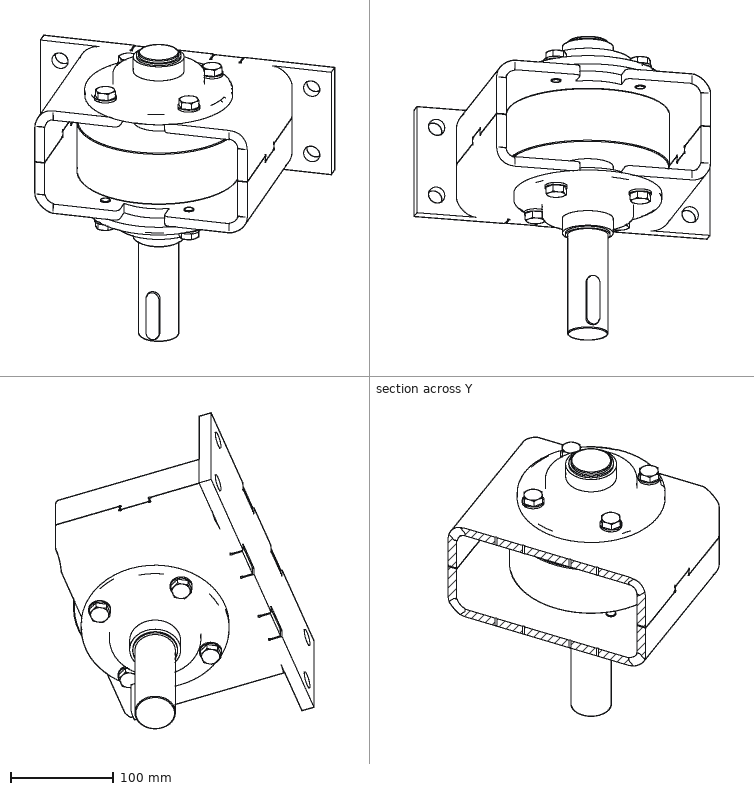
import cadquery as cq
import math


plate_width = 296.0
plate_height = 109.5
plate_thickness = 12.5
plate_back = 112.0
plate_front = plate_back - plate_thickness
mount_hole_diameter = 16.3
mount_hole_x_spacing = 256.0
mount_hole_z_spacing = 70.0

housing_width = 216.2
housing_height = plate_height
housing_depth = 164.0
housing_front = plate_front - housing_depth
wall = 10.0
bend_radius = 20.0
scoop_depth = 1.8
scoop_chord = 23.0
scoop_margin = 1.2
side_height = housing_height / 2

tab_width = 29.0
tab_center_x = 40.3
tab_gap = 1.2
tab_relief_radius = 1.2

seam_gap = 0.5
seam_base_z = -1.8
seam_key_height = 6.0
seam_key_width = 30.7
seam_key_center_y = 17.8
seam_relief_radius = 1.2

spigot_radius = 50.0
mouth_width = 45.8
mouth_fillet = 5.0

flange_radius = 72.5
flange_thickness = 9.3
hub_radius = 45.0
hub_top = 81.0
bearing_fillet = 3.3

bolt_offset = 42.5
bolt_diameter = 10.0
bolt_end_height = 1.0
bolt_end_chamfer = 0.5
washer_diameter = 21.7
washer_thickness = 2.0
head_flats = 17.8
head_corners = head_flats / math.cos(math.radians(30))
head_height = 7.0
head_bevel = 0.5

wheel_radius = 80.0
wheel_width = 54.8
wheel_chamfer = 1.0

journal_radius = 25.0
journal_half_length = 96.0
shoulder_radius = 22.0
shoulder_length = 1.8
drive_radius = 20.0
shaft_length = 301.0
shaft_top = 101.0
shaft_bottom = shaft_top - shaft_length
shaft_chamfer = 1.0

key_width = 13.0
key_length = 50.0
key_bottom = -197.0
key_front = -23.0
key_depth = 7.2


def box(x_range, y_range, z_range):
    """Box spanning the given coordinate ranges."""
    size = [high - low for low, high in (x_range, y_range, z_range)]
    corner = (x_range[0], y_range[0], z_range[0])
    return cq.Workplane("XY").box(*size, centered=False).translate(corner)


def cylinder(radius, z_low, z_high, x=0, y=0):
    """Cylinder along Z between two heights."""
    return cq.Workplane("XY").workplane(offset=z_low).center(x, y).circle(radius).extrude(z_high - z_low)


def both_ends(body):
    """The body together with its mirror image below the mid-plane."""
    return body.union(body.mirror("XY"))


def make_plate():
    """Mounting plate with four holes and pockets for the housing tabs."""
    half_width = plate_width / 2
    half_height = plate_height / 2
    plate = box((-half_width, half_width), (plate_front, plate_back), (-half_height, half_height))
    holes = (
        cq.Workplane("XZ", origin=(0, plate_back, 0))
        .rarray(mount_hole_x_spacing, mount_hole_z_spacing, 2, 2)
        .circle(mount_hole_diameter / 2)
        .extrude(plate_thickness)
    )
    plate = plate.cut(holes)
    pocket_half = tab_width / 2 + tab_gap
    for x in (-tab_center_x, tab_center_x):
        pocket = box(
            (x - pocket_half, x + pocket_half),
            (plate_front, plate_back),
            (half_height - wall, half_height),
        )
        plate = plate.cut(both_ends(pocket))
    return plate


def make_seam():
    """Narrow stepped gap through the -X side wall, with round corner reliefs."""
    x_range = (-housing_width / 2, wall - housing_width / 2)
    half_gap = seam_gap / 2
    key_z = seam_base_z + seam_key_height
    key_start = seam_key_center_y - seam_key_width / 2
    key_end = seam_key_center_y + seam_key_width / 2
    base_z_range = (seam_base_z - half_gap, seam_base_z + half_gap)
    seam = box(x_range, (key_start, key_end), (key_z - half_gap, key_z + half_gap))
    seam = seam.union(box(x_range, (housing_front, key_start), base_z_range))
    seam = seam.union(box(x_range, (key_end, plate_front), base_z_range))
    for y in (key_start, key_end):
        seam = seam.union(box(x_range, (y - half_gap, y + half_gap), (seam_base_z, key_z)))
        reliefs = (
            cq.Workplane("YZ", origin=(x_range[0], 0, 0))
            .pushPoints([(y, seam_base_z), (y, key_z)])
            .circle(seam_relief_radius)
            .extrude(wall)
        )
        seam = seam.union(reliefs)
    return seam


def make_mouth():
    """Opening from the front edge into the bearing bore, flared by round corners."""
    neck = mouth_width / 2
    flare = neck + mouth_fillet
    flare_end = housing_front + mouth_fillet
    return (
        cq.Workplane("XY")
        .workplane(offset=-side_height)
        .moveTo(-flare, housing_front)
        .radiusArc((-neck, flare_end), -mouth_fillet)
        .lineTo(-neck, 0)
        .lineTo(neck, 0)
        .lineTo(neck, flare_end)
        .radiusArc((flare, housing_front), -mouth_fillet)
        .close()
        .extrude(housing_height)
    )


def make_bend_scoops():
    """Shallow hollows across both end faces of the four bends, one cylinder on each bend diagonal."""
    radius = (scoop_chord**2 / 4 + scoop_depth**2) / (2 * scoop_depth)
    half_width = housing_width / 2
    half_height = housing_height / 2
    size = bend_radius - scoop_margin
    corner = box(
        (half_width - size, half_width),
        (housing_front, housing_front + scoop_depth),
        (half_height - size, half_height),
    )
    bend_center = cq.Vector(half_width - bend_radius, 0, half_height - bend_radius)
    axis_y = housing_front + scoop_depth - radius
    hollow = cq.Workplane(
        cq.Solid.makeCylinder(
            radius,
            2 * bend_radius,
            bend_center + cq.Vector(0, axis_y, 0),
            cq.Vector(1, 0, 1),
        )
    )
    scoop = corner.intersect(hollow)
    scoops = both_ends(scoop.union(scoop.mirror("YZ")))
    middle_y = (housing_front + plate_front) / 2
    return scoops.union(scoops.mirror("XZ", (0, middle_y, 0)))


def make_housing():
    """Rectangular folded tube, open at the front, with tabs at the back."""
    outside = (
        cq.Workplane("XZ", origin=(0, plate_front, 0))
        .rect(housing_width, housing_height)
        .extrude(housing_depth)
        .edges("|Y")
        .fillet(bend_radius)
    )
    inside = (
        cq.Workplane("XZ", origin=(0, plate_front, 0))
        .rect(housing_width - 2 * wall, housing_height - 2 * wall)
        .extrude(housing_depth)
        .edges("|Y")
        .fillet(bend_radius - wall)
    )
    housing = outside.cut(inside)

    housing = housing.cut(make_bend_scoops())

    bores = cylinder(spigot_radius, -side_height, side_height)
    housing = housing.cut(bores).cut(make_mouth())

    seam = make_seam()
    housing = housing.cut(seam).cut(seam.rotate((0, 0, 0), (0, 1, 0), 180))

    wall_range = (side_height - wall, side_height)
    for x in (-tab_center_x, tab_center_x):
        left = x - tab_width / 2
        right = x + tab_width / 2
        tab = box((left, right), (plate_front, plate_back - tab_gap), wall_range)
        housing = housing.union(both_ends(tab))
        for relief_x in (left - tab_gap / 2, right + tab_gap / 2):
            relief = cylinder(tab_relief_radius, *wall_range, x=relief_x, y=plate_front)
            housing = housing.cut(both_ends(relief))
    return housing


def make_bearing():
    """Upper bearing housing: spigot, rounded flange and rounded hub, turned about Z."""
    flange_top = side_height + flange_thickness
    r = bearing_fillet
    return (
        cq.Workplane("XZ")
        .moveTo(0, side_height - wall)
        .lineTo(spigot_radius, side_height - wall)
        .lineTo(spigot_radius, side_height)
        .lineTo(flange_radius, side_height)
        .lineTo(flange_radius, flange_top - r)
        .radiusArc((flange_radius - r, flange_top), -r)
        .lineTo(hub_radius + r, flange_top)
        .radiusArc((hub_radius, flange_top + r), r)
        .lineTo(hub_radius, hub_top - r)
        .radiusArc((hub_radius - r, hub_top), -r)
        .lineTo(0, hub_top)
        .close()
        .revolve(360, (0, 0, 0), (0, 1, 0))
    )


def make_bolt():
    """Upper bolt on the Z axis: hexagon head, washer and a shank end inside the housing."""
    seat = side_height + flange_thickness
    head_base = seat + washer_thickness
    shank_end = side_height - wall - bolt_end_height
    shank = cylinder(bolt_diameter / 2, shank_end, seat).faces("<Z").chamfer(bolt_end_chamfer)
    washer = cylinder(washer_diameter / 2, seat, head_base)
    head = (
        cq.Workplane("XY")
        .workplane(offset=head_base)
        .polygon(6, head_corners)
        .extrude(head_height)
    )
    bevel = cylinder(head_corners / 2, head_base, head_base + head_height).faces(">Z").chamfer(
        head_bevel, (head_corners - head_flats) / 2
    )
    return shank.union(washer).union(head.intersect(bevel))


def make_wheel():
    """Plain wheel with chamfered rims."""
    return cylinder(wheel_radius, -wheel_width / 2, wheel_width / 2).edges().chamfer(wheel_chamfer)


def make_shaft():
    """Stepped shaft with its drive key."""
    shoulder_end = journal_half_length + shoulder_length
    shaft = cylinder(drive_radius, shaft_bottom, shaft_top).edges().chamfer(shaft_chamfer)
    shaft = shaft.union(cylinder(shoulder_radius, -shoulder_end, shoulder_end))
    shaft = shaft.union(cylinder(journal_radius, -journal_half_length, journal_half_length))
    key = (
        cq.Workplane("XZ", origin=(0, key_front, key_bottom + key_length / 2))
        .slot2D(key_length, key_width, 90)
        .extrude(-key_depth)
    )
    return shaft.union(key)


result = make_plate().union(make_housing()).union(both_ends(make_bearing()))
bolt_pair = both_ends(make_bolt())
for bolt_x in (-bolt_offset, bolt_offset):
    for bolt_y in (-bolt_offset, bolt_offset):
        result = result.union(bolt_pair.translate((bolt_x, bolt_y, 0)))
result = result.union(make_shaft()).union(make_wheel())